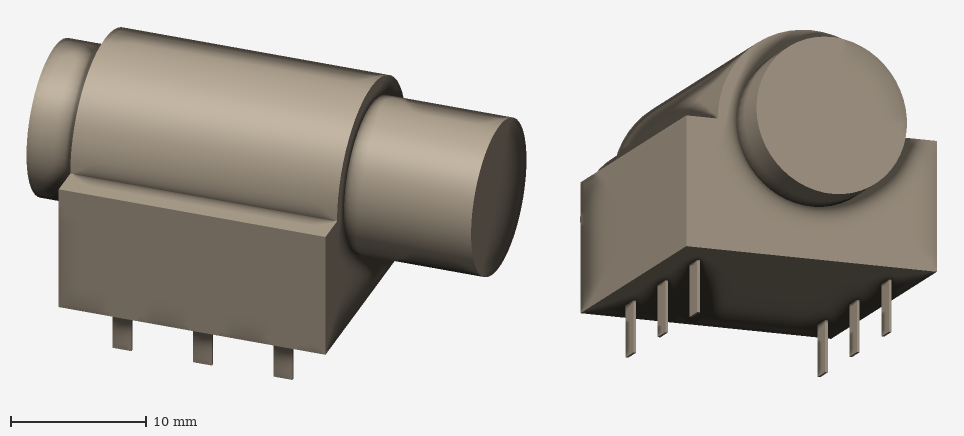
import cadquery as cq

total_length = 35.0
front_stub = 4.0
rear_stub = 10.0
housing_length = total_length - front_stub - rear_stub
housing_width = 20.0
base_height = 10.0
crown_diameter = 14.98

barrel_diameter = 12.0

pins_per_row = 3
pin_length = 4.0
pin_width = 1.5
pin_thickness = 0.2
pin_pitch = 6.35
row_spacing = 15.3

housing_center = front_stub + housing_length / 2


def rod(diameter, start, length):
    """Cylinder along X, centred on the top plane of the base."""
    return (
        cq.Workplane("YZ", origin=(start, 0, base_height))
        .circle(diameter / 2)
        .extrude(length)
    )


def make_housing():
    base = cq.Workplane("XY").box(
        housing_length, housing_width, base_height, centered=(True, True, False)
    ).translate((housing_center, 0, 0))
    return base.union(rod(crown_diameter, front_stub, housing_length))


def make_pins():
    return (
        cq.Workplane("XY", origin=(housing_center, 0, 0))
        .rarray(pin_pitch, row_spacing, pins_per_row, 2)
        .rect(pin_width, pin_thickness)
        .extrude(-pin_length)
    )


barrel = rod(barrel_diameter, 0, total_length)
result = make_housing().union(barrel).union(make_pins())